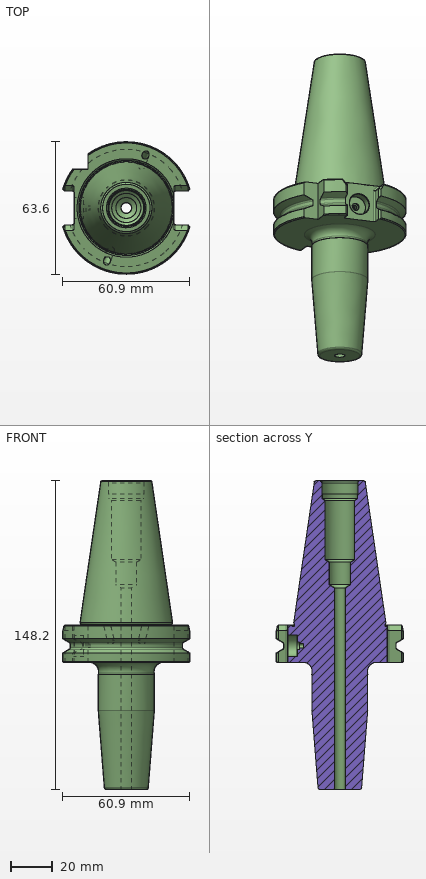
import cadquery as cq
import math


taper_ratio = 7 / 24
taper_height = 68.25
gauge_radius = 44.45 / 2
taper_top_radius = gauge_radius - taper_height * taper_ratio / 2
taper_top_chamfer_width = 0.9
taper_top_chamfer_height = 0.5

relief_neck_radius = 21.9
relief_neck_z = -0.8
relief_outer_radius = 23.6
relief_ledge_radius = 22.8
relief_floor_z = -1.6

flange_top_z = -1.0
flange_bottom_z = -19.1
flange_radius = 63.55 / 2
flange_top_chamfer = 0.6
flange_bottom_chamfer = 0.5
groove_z = -11.1
groove_width = 7.0
groove_radius = 56.25 / 2
groove_flank_angle = 30.0
groove_flank_rise = (flange_radius - groove_radius) * math.tan(math.radians(groove_flank_angle))
groove_floor_fillet = 0.9
groove_half_mouth = groove_width / 2
groove_half_floor = groove_half_mouth - groove_flank_rise

shank_radius = 13.5
shank_flare_end_z = -24.0
shank_recess_end_z = -24.9
shank_recess_radius = 13.4
flare_top_radius = 17.0
nose_bottom_z = -80.0
nose_bottom_radius = 10.5
nose_top_z = -42.0
nose_edge_fillet = 1.0

bore_mouth_radius = 9.5
bore_mouth_chamfer = 0.4
bore_lead_radius = 8.9
bore_lead_depth = 1.2
bore_radius = 8.5
bore_depth = 6.6
pilot_bore_radius = 8.35
pilot_bore_depth = 8.75
thread_radius = 7.0
thread_seat_angle = 55.0
thread_depth = 38.0
drill_radius = 5.0
drill_depth = 50.0
through_radius = 2.5
drill_tip_half_angle = 59.0

slot_half_width = 8.05
slot_mouth_half_width = 10.7
slot_floor_minus_x = 25.0
slot_floor_plus_x = 22.8
slot_floor_fillet = 0.8
slot_mouth_x = 29.5
slot_mouth_length = 2.5

recess_radius = 5.2
recess_depth = 4.6
recess_chamfer = 0.2
pilot_radius = 1.7
pilot_depth = 1.0
pilot_tip_radius = 0.9
pilot_tip_depth = 2.0

notch_x = -18.4
notch_y = 18.65

coolant_circle_radius = 27.0
coolant_angle = 20.0
coolant_tilt = 35.0
coolant_radius = 1.65
coolant_depth = 10.0


def make_body():
    """Revolved outer shape of taper, flange, shank and nose."""
    flare_mid = math.cos(math.radians(45))
    flare_height = flange_bottom_z - shank_flare_end_z
    flare_width = flare_top_radius - shank_recess_radius
    profile = (
        cq.Workplane("XZ")
        .moveTo(0, taper_height)
        .lineTo(taper_top_radius - taper_top_chamfer_width, taper_height)
        .lineTo(taper_top_radius, taper_height - taper_top_chamfer_height)
        .lineTo(gauge_radius, 0)
        .lineTo(relief_neck_radius, relief_neck_z)
        .lineTo(relief_neck_radius, relief_floor_z)
        .lineTo(relief_ledge_radius, relief_floor_z)
        .lineTo(relief_outer_radius, flange_top_z)
        .lineTo(flange_radius - flange_top_chamfer, flange_top_z)
        .lineTo(flange_radius, flange_top_z - flange_top_chamfer)
        .lineTo(flange_radius, groove_z + groove_half_mouth)
        .lineTo(groove_radius, groove_z + groove_half_floor)
        .lineTo(groove_radius, groove_z - groove_half_floor)
        .lineTo(flange_radius, groove_z - groove_half_mouth)
        .lineTo(flange_radius, flange_bottom_z + flange_bottom_chamfer)
        .lineTo(flange_radius - flange_bottom_chamfer, flange_bottom_z)
        .lineTo(flare_top_radius, flange_bottom_z)
        .threePointArc(
            (
                flare_top_radius - flare_width * flare_mid,
                shank_flare_end_z + flare_height * flare_mid,
            ),
            (shank_recess_radius, shank_flare_end_z),
        )
        .lineTo(shank_recess_radius, shank_recess_end_z)
        .lineTo(shank_radius, shank_recess_end_z)
        .lineTo(shank_radius, nose_top_z)
        .lineTo(nose_bottom_radius, nose_bottom_z)
        .lineTo(0, nose_bottom_z)
        .close()
    )
    body = profile.revolve(360, (0, 0, 0), (0, 1, 0))
    body = body.faces("<Z").edges().fillet(nose_edge_fillet)
    groove_floor = cq.selectors.BoxSelector(
        (-flange_radius, -flange_radius, groove_z - groove_half_mouth + groove_flank_rise / 2),
        (flange_radius, flange_radius, groove_z + groove_half_mouth - groove_flank_rise / 2),
        boundingbox=True,
    )
    return body.edges(groove_floor).edges("%CIRCLE").fillet(groove_floor_fillet)


def cone_height(large_radius, small_radius, half_angle):
    """Height of a cone frustum from its end radii and half angle in degrees."""
    return (large_radius - small_radius) / math.tan(math.radians(half_angle))


def make_bore():
    """Stepped bore from the taper end, continuing as a hole through the nose."""
    top = taper_height
    thread_seat_depth = pilot_bore_depth + cone_height(pilot_bore_radius, thread_radius, thread_seat_angle)
    thread_tip_depth = thread_depth + cone_height(thread_radius, drill_radius, drill_tip_half_angle)
    drill_tip_depth = drill_depth + cone_height(drill_radius, through_radius, drill_tip_half_angle)
    return (
        cq.Workplane("XZ")
        .moveTo(0, top)
        .lineTo(bore_mouth_radius, top)
        .lineTo(bore_lead_radius, top - bore_mouth_chamfer)
        .lineTo(bore_radius, top - bore_lead_depth)
        .lineTo(bore_radius, top - bore_depth)
        .lineTo(pilot_bore_radius, top - bore_depth)
        .lineTo(pilot_bore_radius, top - pilot_bore_depth)
        .lineTo(thread_radius, top - thread_seat_depth)
        .lineTo(thread_radius, top - thread_depth)
        .lineTo(drill_radius, top - thread_tip_depth)
        .lineTo(drill_radius, top - drill_depth)
        .lineTo(through_radius, top - drill_tip_depth)
        .lineTo(through_radius, nose_bottom_z)
        .lineTo(0, nose_bottom_z)
        .close()
        .revolve(360, (0, 0, 0), (0, 1, 0))
    )


def slot_outline(x):
    """Slot section: parallel walls that open out at 45 degrees to the flange top."""
    bevel_z = flange_top_z - (slot_mouth_half_width - slot_half_width)
    return (
        cq.Workplane("YZ", origin=(x, 0, 0))
        .moveTo(-slot_half_width, flange_bottom_z)
        .lineTo(slot_half_width, flange_bottom_z)
        .lineTo(slot_half_width, bevel_z)
        .lineTo(slot_mouth_half_width, flange_top_z)
        .lineTo(-slot_mouth_half_width, flange_top_z)
        .lineTo(-slot_half_width, bevel_z)
        .close()
    )


def make_slot(floor_x):
    """Driving slot on the +X side, with rounded floor edges and a chamfered mouth."""
    slot = slot_outline(floor_x).extrude(flange_radius - floor_x)
    slot = slot.faces("<X").edges("not(<Z or >Z)").fillet(slot_floor_fillet)
    mouth = slot_outline(slot_mouth_x).extrude(slot_mouth_length, taper=-45)
    return slot.union(mouth)


def make_slot_recess():
    """Flat-bottomed round recess with a stepped pilot hole in the -X slot floor."""
    floor = cq.Workplane("YZ", origin=(-slot_floor_minus_x, 0, groove_z))
    recess = floor.circle(recess_radius - recess_chamfer).extrude(recess_depth)
    rim = floor.circle(recess_radius).extrude(recess_chamfer, taper=45)
    pilot = floor.circle(pilot_radius).extrude(recess_depth + pilot_depth)
    pilot_tip = floor.circle(pilot_tip_radius).extrude(recess_depth + pilot_depth + pilot_tip_depth)
    return recess.union(rim).union(pilot).union(pilot_tip)


def make_notch():
    """Rectangular orientation notch through the full flange height."""
    size = flange_radius
    height = flange_top_z - flange_bottom_z
    return cq.Workplane("XY").box(size, size, height, centered=False).translate(
        (notch_x - size, notch_y, flange_bottom_z)
    )


def make_coolant_hole():
    """Hole that enters the flange face and leans towards the holder axis."""
    tilt = math.radians(coolant_tilt)
    direction = cq.Vector(0, -math.sin(tilt), -math.cos(tilt))
    entry = cq.Vector(0, coolant_circle_radius, flange_top_z)
    overrun = 2 * coolant_radius
    hole = cq.Solid.makeCylinder(
        coolant_radius, coolant_depth + overrun, entry - direction * overrun, direction
    )
    return cq.Workplane(hole).rotate((0, 0, 0), (0, 0, 1), -coolant_angle)


result = make_body().cut(make_bore())
result = result.cut(make_slot(slot_floor_plus_x))
result = result.cut(make_slot(slot_floor_minus_x).rotate((0, 0, 0), (0, 0, 1), 180))
result = result.cut(make_slot_recess())
result = result.cut(make_notch())
for turn in (0, 180):
    result = result.cut(make_coolant_hole().rotate((0, 0, 0), (0, 0, 1), turn))